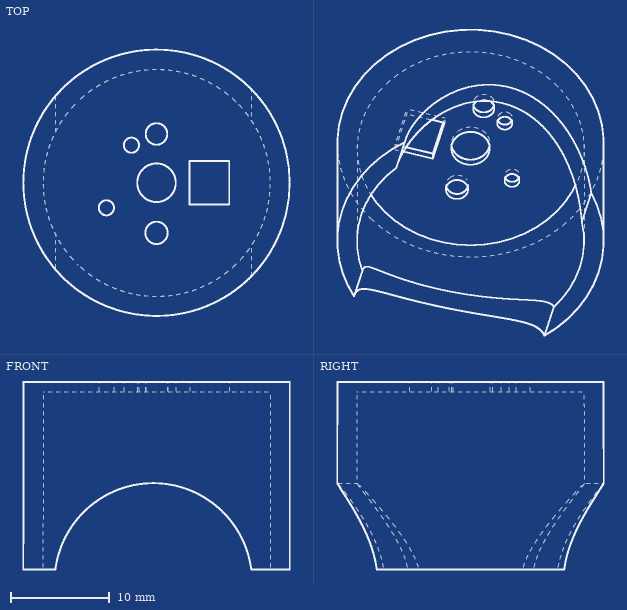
import cadquery as cq

outer_diameter = 27.0
inner_diameter = 23.0
height = 19.0
cap_thickness = 1.0

saddle_radius = 10.0
saddle_top = 8.75
saddle_x = -0.32

center_hole_diameter = 3.9
small_holes = [
    (2.15, 0.0, 4.95),
    (2.25, 0.0, -5.08),
    (1.5, -2.55, 3.8),
    (1.5, -5.08, -2.55),
]
window_width = 4.0
window_length = 4.4
window_x = 5.35


def cup():
    """Cylinder hollowed from below, leaving the cap."""
    body = cq.Workplane("XY").circle(outer_diameter / 2).extrude(height)
    cavity = cq.Workplane("XY").circle(inner_diameter / 2).extrude(height - cap_thickness)
    return body.cut(cavity)


def saddle():
    """Horizontal cylinder along Y whose crown sets the arch height."""
    return (
        cq.Workplane("XZ")
        .center(saddle_x, saddle_top - saddle_radius)
        .circle(saddle_radius)
        .extrude(outer_diameter / 2, both=True)
    )


def round_hole(diameter, x, y):
    """Round cutter through the cap."""
    return (
        cq.Workplane("XY", origin=(x, y, height - cap_thickness))
        .circle(diameter / 2)
        .extrude(cap_thickness)
    )


def window():
    """Rectangular cutter through the cap."""
    return (
        cq.Workplane("XY", origin=(window_x, 0, height - cap_thickness))
        .rect(window_width, window_length)
        .extrude(cap_thickness)
    )


result = cup().cut(saddle()).cut(round_hole(center_hole_diameter, 0, 0)).cut(window())
for diameter, x, y in small_holes:
    result = result.cut(round_hole(diameter, x, y))